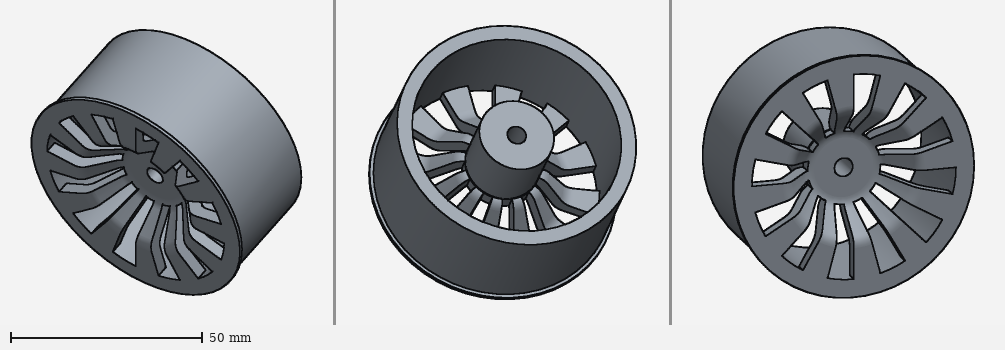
import cadquery as cq
import math

flange_radius = 33.0
flange_width = 1.0
rim_radius = 32.0
rim_bore_radius = 28.0
wheel_width = 30.0
axle_hole_radius = 2.5
hub_radius = 10.0

disc_thickness = 3.5
dish_depth = 9.0
dish_floor_radius = hub_radius
dish_mouth_radius = 17.6
dish_bend_radius = 4.0

spoke_count = 12
pitch_angle = 360.0 / spoke_count
slot_angle = pitch_angle / 2
slot_inner_radius = hub_radius
slot_outer_radius = rim_bore_radius

front_y = -wheel_width / 2
back_y = front_y + wheel_width
floor_y = front_y + dish_depth


def turned(points):
    """Revolve a closed (radius, y) outline about the Y axis."""
    return cq.Workplane("XY").polyline(points).close().revolve(360, (0, 0, 0), (0, 1, 0))


def rim():
    flange_back_y = front_y + flange_width
    return turned([
        (rim_bore_radius, front_y),
        (flange_radius, front_y),
        (flange_radius, flange_back_y),
        (rim_radius, flange_back_y),
        (rim_radius, back_y),
        (rim_bore_radius, back_y),
    ])


def hub():
    """Bored boss running from the rear side of the dish floor to the back of the rim."""
    hub_front_y = floor_y + disc_thickness
    return turned([
        (axle_hole_radius, hub_front_y),
        (hub_radius, hub_front_y),
        (hub_radius, back_y),
        (axle_hole_radius, back_y),
    ])


def round_ring(body, ring_radius, bend_radius):
    """Fillet the circular edges of one radius."""
    rings = body.edges("%CIRCLE").filter(lambda edge: math.isclose(edge.radius(), ring_radius))
    return rings.fillet(bend_radius)


def dished_disc():
    """Disc of even thickness whose middle is sunk toward +Y, with rounded bends."""
    slope = math.atan2(dish_depth, dish_mouth_radius - dish_floor_radius)
    back_shift = disc_thickness * math.tan(slope / 2)
    back_floor_radius = dish_floor_radius + back_shift
    back_mouth_radius = dish_mouth_radius + back_shift
    disc = turned([
        (axle_hole_radius, floor_y),
        (dish_floor_radius, floor_y),
        (dish_mouth_radius, front_y),
        (rim_bore_radius, front_y),
        (rim_bore_radius, front_y + disc_thickness),
        (back_mouth_radius, front_y + disc_thickness),
        (back_floor_radius, floor_y + disc_thickness),
        (axle_hole_radius, floor_y + disc_thickness),
    ])
    bend_circles = [dish_floor_radius, back_floor_radius, dish_mouth_radius, back_mouth_radius]
    for ring_radius in bend_circles:
        disc = round_ring(disc, ring_radius, dish_bend_radius)
    return disc


def on_circle(radius, angle):
    """Point at an angle turned clockwise from +Z, as seen from -Y."""
    turn = math.radians(angle)
    return (radius * math.sin(turn), radius * math.cos(turn))


def slot():
    """Ring sector between two neighbouring spokes, starting at +Z."""
    half_angle = slot_angle / 2
    return (
        cq.Workplane("XZ", origin=(0, back_y, 0))
        .moveTo(*on_circle(slot_inner_radius, 0))
        .lineTo(*on_circle(slot_outer_radius, 0))
        .threePointArc(on_circle(slot_outer_radius, half_angle), on_circle(slot_outer_radius, slot_angle))
        .lineTo(*on_circle(slot_inner_radius, slot_angle))
        .threePointArc(on_circle(slot_inner_radius, half_angle), on_circle(slot_inner_radius, 0))
        .close()
        .extrude(wheel_width)
    )


spoked_disc = dished_disc()
for spoke in range(spoke_count):
    spoked_disc = spoked_disc.cut(slot().rotate((0, 0, 0), (0, 1, 0), spoke * pitch_angle))

result = rim().union(spoked_disc).union(hub())